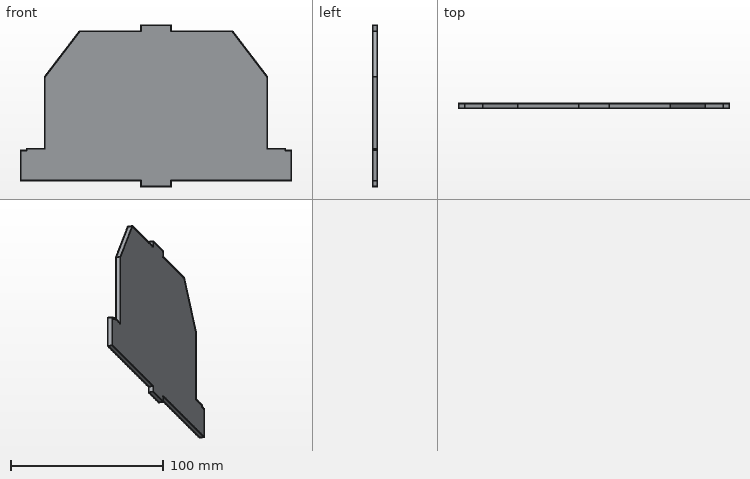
import cadquery as cq

length = 178.0
thickness = 3.2
total_height = 106.0

tab_width = 20.0
tab_height = 4.0

panel_width = 146.3
panel_top_width = 100.4
shoulder_drop = 30.0

foot_height = 21.0
foot_end_height = 20.0
foot_end_length = 4.0

tab_top = total_height / 2
panel_top = tab_top - tab_height
shoulder_bottom = panel_top - shoulder_drop
foot_bottom = -panel_top
foot_top = foot_bottom + foot_height
foot_end_top = foot_bottom + foot_end_height

half_outline = [
    (0, -tab_top),
    (tab_width / 2, -tab_top),
    (tab_width / 2, foot_bottom),
    (length / 2, foot_bottom),
    (length / 2, foot_end_top),
    (length / 2 - foot_end_length, foot_end_top),
    (length / 2 - foot_end_length, foot_top),
    (panel_width / 2, foot_top),
    (panel_width / 2, shoulder_bottom),
    (panel_top_width / 2, panel_top),
    (tab_width / 2, panel_top),
    (tab_width / 2, tab_top),
    (0, tab_top),
]

result = (
    cq.Workplane("XZ")
    .polyline(half_outline)
    .mirrorY()
    .extrude(thickness / 2, both=True)
)